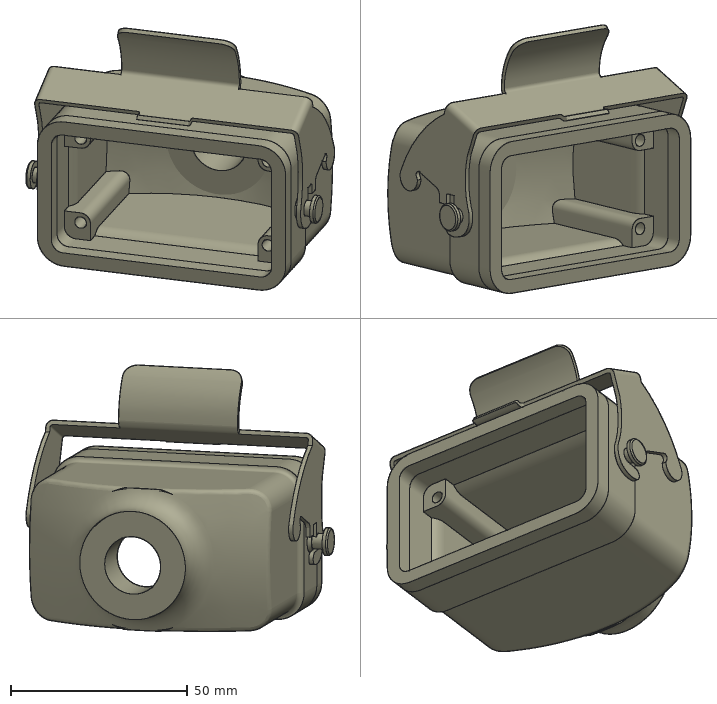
import cadquery as cq
import math

TOTAL_WIDTH = 86.5
TOTAL_DEPTH = 64.0
TOTAL_HEIGHT = 70.15

FRONT_WIDTH = 74.3
FRONT_HEIGHT = 44.0
FRONT_CORNER = 8.05
WALL_SIDE = 4.2
WALL_FLAT = 4.1
STEP = 1.6
OPENING_CORNER = 3.5
RIM_DEPTH = 5.0
STEP_Y = 17.8

REAR_WIDTH = FRONT_WIDTH - 2 * STEP
REAR_HEIGHT = FRONT_HEIGHT - 2 * STEP
OPENING_WIDTH = FRONT_WIDTH - 2 * WALL_SIDE
OPENING_HEIGHT = FRONT_HEIGHT - 2 * WALL_FLAT

BACK_RADIUS = 69.2
COLLAR_RADIUS = 31.2 / 2
COLLAR_LENGTH = 2.4
FLARE_RADIUS = 8.0
BACK_EDGE_FILLET = 1.7
BACK_WALL = 4.15
CABLE_HOLE = 16.5

BOSS_FACE_Y = 11.5
BOSS_HOLE = 3.5
BOSS_X = 28.0
BOSS_Z = 12.8
BOSS_MARGIN = 2.9

PIN_Y = 11.5
PIN_SHAFT = 4.5
PIN_HEAD = 8.0
PIN_HEAD_LENGTH = 1.5
PIN_HEAD_CHAMFER = 0.4
PIN_FOOT_WIDE = 6.6
PIN_FOOT_NARROW = 5.2

SHEET = 1.3
LEVER_WIDTH = 79.0
TILT = math.radians(23.4)
STRAP_START = 3.4
STRAP_LENGTH = 13.7
STRAP_LEVEL = 27.3
BEND_OUTER = 2.2
GRIP_WIDTH = 35.2
GRIP_BEND_OUTER = 2.6
GRIP_RADIUS = 20.2
GRIP_CORNER = 4.1
TAB_WIDTH = 15.5
TAB_LEAD = 0.6
TAB_OUTER = 3.3
TAB_ROOT_FILLET = 0.5
TAB_TIP_FILLET = 0.4
TAB_RISE = math.radians(31.0)

STRAP_END = STRAP_START + STRAP_LENGTH
STRAP_UNDERSIDE = STRAP_LEVEL - SHEET
GRIP_TOP = TOTAL_HEIGHT - FRONT_HEIGHT / 2


def rounded_prism(width, height, corner, y_from, y_to):
    """Rounded rectangle in XZ, extended along Y."""
    length = y_to - y_from
    block = cq.Workplane("XY").box(width, length, height).translate((0, y_from + length / 2, 0))
    return block.edges("|Y").fillet(corner)


def step_blend(width, height, corner, radius, y_tangent):
    """Ring whose arc leaves a wall of the given outline at y_tangent and rises by STEP toward -Y."""
    root = corner / 2
    wall_x = width / 2
    length = math.sqrt(radius ** 2 - (radius - STEP) ** 2)
    angle = math.acos((radius - STEP) / radius) / 2
    middle = (wall_x + radius * (1 - math.cos(angle)), y_tangent - radius * math.sin(angle))
    path = rounded_prism(width, height, corner, y_tangent, y_tangent + STEP).faces("<Y").wires().val()
    profile = (
        cq.Workplane("XY")
        .moveTo(wall_x, y_tangent)
        .threePointArc(middle, (wall_x + STEP, y_tangent - length))
        .lineTo(wall_x - root, y_tangent - length)
        .lineTo(wall_x - root, y_tangent)
        .close()
    )
    return profile.sweep(cq.Workplane(path))


FLARE_START_Y = TOTAL_DEPTH - COLLAR_LENGTH
FLARE_CENTER_R = COLLAR_RADIUS + FLARE_RADIUS
FLARE_SLOPE = math.asin(FLARE_CENTER_R / (BACK_RADIUS + FLARE_RADIUS))
FLARE_TURN = math.pi / 2 - FLARE_SLOPE
FLARE_FOOT_R = FLARE_CENTER_R - FLARE_RADIUS * math.sin(FLARE_SLOPE)
FLARE_FOOT_Y = FLARE_START_Y - FLARE_RADIUS * math.cos(FLARE_SLOPE)
BACK_CENTER_Y = FLARE_START_Y - (BACK_RADIUS + FLARE_RADIUS) * math.cos(FLARE_SLOPE)


def back_sphere(radius):
    return cq.Workplane("XY").sphere(radius).translate((0, BACK_CENTER_Y, 0))


def flared_collar():
    half = FLARE_TURN / 2
    middle = (
        FLARE_CENTER_R - FLARE_RADIUS * math.cos(half),
        FLARE_START_Y - FLARE_RADIUS * math.sin(half),
    )
    root_y = FLARE_FOOT_Y - BACK_WALL / 2
    return (
        cq.Workplane("XY")
        .moveTo(0, TOTAL_DEPTH)
        .lineTo(COLLAR_RADIUS, TOTAL_DEPTH)
        .lineTo(COLLAR_RADIUS, FLARE_START_Y)
        .threePointArc(middle, (FLARE_FOOT_R, FLARE_FOOT_Y))
        .lineTo(COLLAR_RADIUS, root_y)
        .lineTo(0, root_y)
        .close()
        .revolve(360, (0, 0), (0, 1))
    )


def hood_outside():
    corner = FRONT_CORNER - STEP
    rear = rounded_prism(REAR_WIDTH, REAR_HEIGHT, corner, RIM_DEPTH, TOTAL_DEPTH)
    body = rear.intersect(back_sphere(BACK_RADIUS)).faces(">Y").edges().fillet(BACK_EDGE_FILLET)
    body = body.union(flared_collar().intersect(rear))
    body = body.union(rounded_prism(FRONT_WIDTH, FRONT_HEIGHT, FRONT_CORNER, RIM_DEPTH, STEP_Y))
    return body.union(step_blend(REAR_WIDTH, REAR_HEIGHT, corner, STEP, STEP_Y + STEP))


def hood_cavity():
    corner = OPENING_CORNER - STEP
    width = OPENING_WIDTH - 2 * STEP
    height = OPENING_HEIGHT - 2 * STEP
    blend_radius = STEP + WALL_SIDE
    blend_y = STEP_Y + STEP
    blend_length = math.sqrt(blend_radius ** 2 - WALL_SIDE ** 2)
    inner_radius = BACK_RADIUS - BACK_WALL
    end_y = BACK_CENTER_Y + math.sqrt(inner_radius ** 2 - COLLAR_RADIUS ** 2)
    rear = rounded_prism(width, height, corner, 0, end_y).intersect(back_sphere(inner_radius))
    front = rounded_prism(OPENING_WIDTH, OPENING_HEIGHT, OPENING_CORNER, 0, blend_y - blend_length)
    return rear.union(front).union(step_blend(width, height, corner, blend_radius, blend_y))


def screw_boss(side_x, side_z):
    """Corner boss with one rounded edge and a screw hole through its length."""
    reach = 2 * BOSS_MARGIN + WALL_SIDE
    length = TOTAL_DEPTH - BOSS_FACE_Y
    center_y = BOSS_FACE_Y + length / 2
    shift = reach / 2 - BOSS_MARGIN
    boss = (
        cq.Workplane("XY")
        .box(reach, length, reach)
        .edges("|Y and <X and <Z")
        .fillet(BOSS_MARGIN)
        .translate((BOSS_X + shift, center_y, BOSS_Z + shift))
    )
    hole = cq.Workplane("XZ", origin=(BOSS_X, BOSS_FACE_Y, BOSS_Z)).circle(BOSS_HOLE / 2).extrude(-length)
    boss = boss.cut(hole)
    if side_x < 0:
        boss = boss.mirror("YZ")
    if side_z < 0:
        boss = boss.mirror("XY")
    return boss


def make_hood():
    cavity = hood_cavity()
    for side_x in (-1, 1):
        for side_z in (-1, 1):
            cavity = cavity.cut(screw_boss(side_x, side_z))
    cable_hole = cq.Workplane("XZ").circle(CABLE_HOLE / 2).extrude(-TOTAL_DEPTH)
    return hood_outside().cut(cavity).cut(cable_hole)


def make_rim():
    frame = rounded_prism(FRONT_WIDTH, FRONT_HEIGHT, FRONT_CORNER, 0, RIM_DEPTH)
    return frame.cut(rounded_prism(OPENING_WIDTH, OPENING_HEIGHT, OPENING_CORNER, 0, RIM_DEPTH))


def make_pin(side):
    """Headed pin standing on the hood wall, on the -X (-1) or +X (1) side."""
    wall_x = FRONT_WIDTH / 2
    lever_x = LEVER_WIDTH / 2 - SHEET
    tip_x = TOTAL_WIDTH / 2
    head_x = tip_x - PIN_HEAD_LENGTH
    pin = (
        cq.Workplane("XY")
        .polyline([
            (wall_x, 0),
            (wall_x, PIN_FOOT_WIDE / 2),
            (lever_x, PIN_FOOT_NARROW / 2),
            (lever_x, PIN_SHAFT / 2),
            (head_x, PIN_SHAFT / 2),
            (head_x, PIN_HEAD / 2),
            (tip_x - PIN_HEAD_CHAMFER, PIN_HEAD / 2),
            (tip_x, PIN_HEAD / 2 - PIN_HEAD_CHAMFER),
            (tip_x, 0),
        ])
        .close()
        .revolve(360, (0, 0), (1, 0))
        .translate((0, PIN_Y, 0))
    )
    return pin if side > 0 else pin.mirror("YZ")


def tilted(along, above):
    """(Y, Z) from the pin axis of a point given along and above the tilted strap direction."""
    return (
        along * math.cos(TILT) - above * math.sin(TILT),
        along * math.sin(TILT) + above * math.cos(TILT),
    )


def around(center, radius, angle):
    return (center[0] + radius * math.cos(angle), center[1] + radius * math.sin(angle))


def lever_plate():
    """Side plate of the lever: latch hook at the rear, open pin seat at the front, in YZ."""
    seat = PIN_SHAFT / 2
    slot_y = 1.65
    slot_z = math.sqrt(seat ** 2 - slot_y ** 2)
    strap_level = STRAP_LEVEL - BEND_OUTER
    return (
        cq.Workplane("YZ", origin=(LEVER_WIDTH / 2 - SHEET, 0, 0))
        .moveTo(*tilted(STRAP_START, strap_level))
        .lineTo(*tilted(STRAP_END, strap_level))
        .lineTo(6.05, 28.55)
        .threePointArc((17.1, 20.7), (25.2, 9.1))
        .threePointArc((21.5, 3.8), (17.8, 7.5))
        .lineTo(18.25, 8.5)
        .threePointArc((18.1, 9.8), (16.8, 9.95))
        .lineTo(9.9, 6.9)
        .threePointArc((8.8, 6.3), (8.1, 5.1))
        .lineTo(8.1, 2.5)
        .lineTo(5.0, 2.5)
        .lineTo(5.0, 5.0)
        .threePointArc((4.85, 5.45), (4.4, 5.6))
        .lineTo(slot_y, 5.6)
        .lineTo(slot_y, slot_z)
        .threePointArc((-seat, 0), (0, -seat))
        .lineTo(3.5, -2.6)
        .threePointArc((5.1, -4.2), (3.5, -6.1))
        .threePointArc((-0.5, -6.05), (-3.55, -4.2))
        .threePointArc((-5.0, -0.7), (-4.4, 3.0))
        .threePointArc((-3.3, 11.1), (-4.2, 18.1))
        .close()
        .extrude(SHEET)
    )


def lever_strap():
    """Cross strap with its two rounded bends, drawn square and then tilted about the pin axis."""
    height = BEND_OUTER
    outer = (
        cq.Workplane("XY")
        .box(LEVER_WIDTH, STRAP_LENGTH, 2 * height)
        .edges("|Y and >Z")
        .fillet(BEND_OUTER)
    )
    inner = (
        cq.Workplane("XY")
        .box(LEVER_WIDTH - 2 * SHEET, STRAP_LENGTH, 2 * (height - SHEET))
        .edges("|Y and >Z")
        .fillet(BEND_OUTER - SHEET)
    )
    lower_half = cq.Workplane("XY").box(LEVER_WIDTH, STRAP_LENGTH, height).translate((0, 0, -height / 2))
    strap = outer.cut(inner).cut(lower_half)
    strap = strap.translate((0, STRAP_START + STRAP_LENGTH / 2, STRAP_LEVEL - height))
    return strap.rotate((0, 0, 0), (1, 0, 0), math.degrees(TILT))


def sheet_profile(width):
    return cq.Workplane("YZ", origin=(-width / 2, 0, 0))


def lever_grip():
    """Curved finger grip: the strap bends up to vertical and then arches forward."""
    bend_inner = GRIP_BEND_OUTER - SHEET
    grip_inner = GRIP_RADIUS - SHEET
    bend_center = tilted(STRAP_END, STRAP_UNDERSIDE + GRIP_BEND_OUTER)
    grip_center = (bend_center[0] + GRIP_BEND_OUTER - GRIP_RADIUS, bend_center[1])
    end = math.asin((GRIP_TOP - grip_center[1]) / GRIP_RADIUS)
    bend_start = TILT - math.pi / 2
    grip = (
        sheet_profile(GRIP_WIDTH)
        .moveTo(*around(bend_center, GRIP_BEND_OUTER, bend_start))
        .threePointArc(around(bend_center, GRIP_BEND_OUTER, bend_start / 2),
                       around(bend_center, GRIP_BEND_OUTER, 0))
        .threePointArc(around(grip_center, GRIP_RADIUS, end / 2), around(grip_center, GRIP_RADIUS, end))
        .lineTo(*around(grip_center, grip_inner, end))
        .threePointArc(around(grip_center, grip_inner, end / 2), around(grip_center, grip_inner, 0))
        .threePointArc(around(bend_center, bend_inner, bend_start / 2),
                       around(bend_center, bend_inner, bend_start))
        .close()
        .extrude(GRIP_WIDTH)
    )
    return grip.faces(">Z").edges("not |X").fillet(GRIP_CORNER)


def lever_tab():
    """Narrow tab at the front of the strap, curled upward."""
    inner = TAB_OUTER - SHEET
    center = tilted(STRAP_START - TAB_LEAD, STRAP_UNDERSIDE + TAB_OUTER)
    start = TILT - math.pi / 2
    end = -math.pi / 2 - TAB_RISE
    middle = (start + end) / 2
    tab = (
        sheet_profile(TAB_WIDTH)
        .moveTo(*tilted(STRAP_START, STRAP_UNDERSIDE))
        .lineTo(*around(center, TAB_OUTER, start))
        .threePointArc(around(center, TAB_OUTER, middle), around(center, TAB_OUTER, end))
        .lineTo(*around(center, inner, end))
        .threePointArc(around(center, inner, middle), around(center, inner, start))
        .lineTo(*tilted(STRAP_START, STRAP_LEVEL))
        .close()
        .extrude(TAB_WIDTH)
    )
    return tab.faces("<Y").edges("not |X").fillet(TAB_TIP_FILLET)


def make_lever():
    plate = lever_plate()
    lever = lever_strap().union(plate).union(plate.mirror("YZ"))
    lever = lever.union(lever_grip()).union(lever_tab())
    root = tilted(STRAP_START, STRAP_LEVEL - SHEET / 2)
    for side in (-1, 1):
        root_edge = cq.selectors.NearestToPointSelector((side * TAB_WIDTH / 2, *root))
        lever = lever.edges(root_edge).fillet(TAB_ROOT_FILLET)
    return lever.translate((0, PIN_Y, 0))


hood = make_hood()
rim = make_rim()
lever = make_lever()
pins = [make_pin(side) for side in (-1, 1)]

result = cq.Compound.makeCompound([hood.val(), rim.val(), lever.val(), *[pin.val() for pin in pins]])